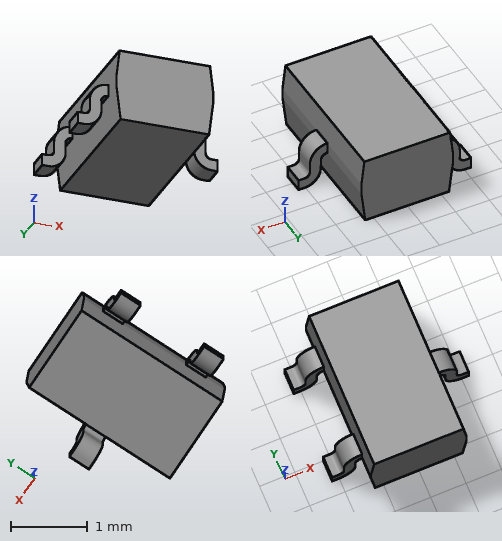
import cadquery as cq

span_x = 2.2

housing_length = 2.2
housing_height = 1.0
belt_width = 1.35
top_width = 1.263
bottom_width = 1.236

lead_thickness = 0.16
lead_width = 0.305
lead_top = 0.63
foot_inner_radius = 0.08
foot_flat = 0.088
lead_pitch = 1.298

lead_underside = lead_top - lead_thickness
foot_outer_radius = foot_inner_radius + lead_thickness


def make_housing():
    section = [
        (-bottom_width / 2, 0),
        (bottom_width / 2, 0),
        (belt_width / 2, lead_underside),
        (belt_width / 2, lead_top),
        (top_width / 2, housing_height),
        (-top_width / 2, housing_height),
        (-belt_width / 2, lead_top),
        (-belt_width / 2, lead_underside),
    ]
    return cq.Workplane("XZ").polyline(section).close().extrude(housing_length / 2, both=True)


def make_lead(side, center_y):
    """Lead on the +X (side = 1) or -X (side = -1) face, butted against the housing."""
    root_x = belt_width / 2
    toe_x = span_x / 2
    heel_x = toe_x - foot_flat
    shank_outer = heel_x - foot_inner_radius
    shank_inner = shank_outer - lead_thickness
    shoulder_radius = shank_outer - root_x
    shoulder_inner_radius = shoulder_radius - lead_thickness
    shoulder_z = lead_top - shoulder_radius
    heel_z = lead_thickness + foot_inner_radius

    def at(x, z):
        return (side * x, z)

    def on_arc(x, z, radius, x_sign, z_sign):
        """Midpoint of a quarter arc about the center (x, z)."""
        offset = radius / 2**0.5
        return at(x + x_sign * offset, z + z_sign * offset)

    profile = (
        cq.Workplane("XZ", origin=(0, center_y, 0))
        .moveTo(*at(root_x, lead_top))
        .threePointArc(
            on_arc(root_x, shoulder_z, shoulder_radius, 1, 1),
            at(shank_outer, shoulder_z),
        )
        .lineTo(*at(shank_outer, heel_z))
        .threePointArc(
            on_arc(heel_x, heel_z, foot_inner_radius, -1, -1),
            at(heel_x, lead_thickness),
        )
        .lineTo(*at(toe_x, lead_thickness))
        .lineTo(*at(toe_x, 0))
        .lineTo(*at(heel_x, 0))
        .threePointArc(
            on_arc(heel_x, heel_z, foot_outer_radius, -1, -1),
            at(shank_inner, heel_z),
        )
        .lineTo(*at(shank_inner, shoulder_z))
        .threePointArc(
            on_arc(root_x, shoulder_z, shoulder_inner_radius, 1, 1),
            at(root_x, lead_underside),
        )
        .close()
    )
    return profile.extrude(lead_width / 2, both=True)


housing = make_housing()

lead_places = [(-1, -lead_pitch / 2), (-1, lead_pitch / 2), (1, 0)]
leads = [make_lead(side, center_y).val() for side, center_y in lead_places]

result = cq.Compound.makeCompound([housing.val(), *leads])